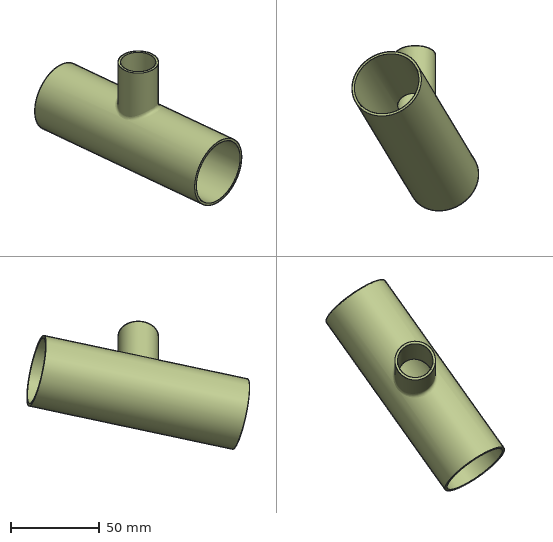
import cadquery as cq

run_length = 120.0
run_outer_diameter = 41.0
run_inner_diameter = 38.0

branch_outer_diameter = 23.0
branch_inner_diameter = 20.0
overall_height = 69.5
branch_top = overall_height - run_outer_diameter / 2

weld_radius = 2.0


def run_cylinder(diameter):
    """Cylinder along the full run, centred on the origin."""
    return cq.Workplane("YZ").circle(diameter / 2).extrude(run_length / 2, both=True)


def branch_cylinder(diameter):
    """Cylinder from the run axis up to the branch mouth."""
    return cq.Workplane("XY").circle(diameter / 2).extrude(branch_top)


junction_half_width = branch_outer_diameter
junction_top = run_outer_diameter / 2 + weld_radius
junction = cq.selectors.BoxSelector(
    (-junction_half_width, -junction_half_width, 0),
    (junction_half_width, junction_half_width, junction_top),
)

body = run_cylinder(run_outer_diameter).union(branch_cylinder(branch_outer_diameter))
body = body.edges(junction).edges("not %LINE").fillet(weld_radius)

result = body.cut(run_cylinder(run_inner_diameter)).cut(branch_cylinder(branch_inner_diameter))